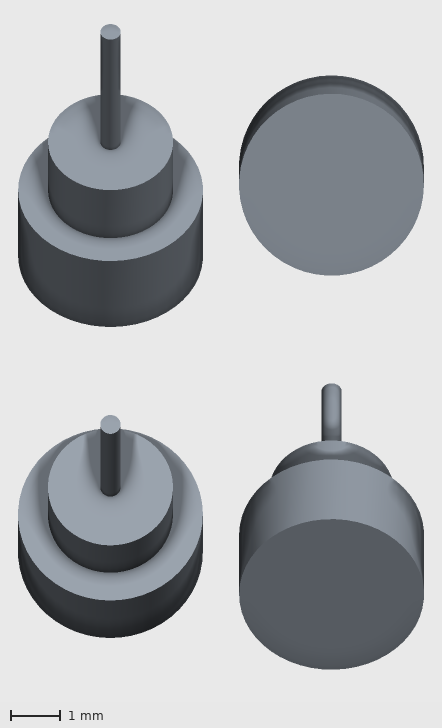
import cadquery as cq

total_height = 7.0
base_diameter = 3.7
base_height = 2.06
collar_diameter = 2.505
collar_height = 1.5
core_diameter = 1.95
pin_diameter = 0.405

collar_top = base_height + collar_height
pin_length = total_height - collar_top


def upright_cylinder(diameter, height, bottom):
    """Cylinder on the Z axis, standing at the given level."""
    return cq.Workplane("XY").workplane(offset=bottom).circle(diameter / 2).extrude(height)


base = upright_cylinder(base_diameter, base_height, 0)
collar = upright_cylinder(collar_diameter, collar_height, base_height)
pin = upright_cylinder(pin_diameter, pin_length, collar_top)

core = upright_cylinder(core_diameter, collar_height, base_height)

result = base.union(collar).union(core, clean=False).union(pin, clean=False)